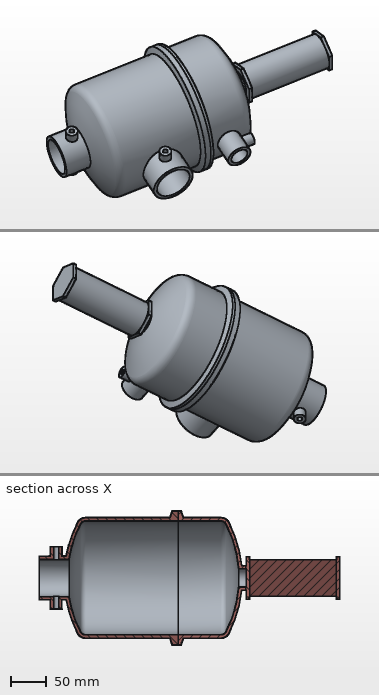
import cadquery as cq
import math

shell_radius = 84.0
shell_wall = 5.0
knuckle_radius = 13.0
crown_radius = 2 * shell_radius
cover_length = 59.5
tank_length = 128.5

flange_radius = 93.6
cover_rim = 4.0
cover_flange = 7.5
tank_rim = 8.5
tank_flange = 11.5

pipe_wall = 5.0
large_pipe_radius = 30.5
small_pipe_radius = 17.5
side_pipe_end = 115.8
bottom_pipe_end = -193.5
large_side_pipe_y = -70.5
small_side_pipe_y = 33.0

port_radius = 8.5
port_bore_radius = 3.5
port_height = 13.0
bottom_port_y = -169.5
large_side_port_x = 91.7
small_side_port_x = 95.5

actuator_start = 94.5
actuator_end = 225.5
cap_thickness = 5.0
barrel_diameter = 51.5
cap_corner_diameter = barrel_diameter / math.cos(math.pi / 6)

X_AXIS = cq.Vector(1, 0, 0)
Y_AXIS = cq.Vector(0, 1, 0)
Z_AXIS = cq.Vector(0, 0, 1)


def rod(radius, start, direction, length):
    return cq.Workplane(cq.Solid.makeCylinder(radius, length, start, direction))


def domed_solid(length, inset, side):
    """Round solid from the joint to a torispherical end; side is +1 or -1 along Y."""
    radius = shell_radius - inset
    knuckle = knuckle_radius - inset
    crown = crown_radius - inset
    knuckle_center = radius - knuckle
    tangent_angle = math.asin(knuckle_center / (crown - knuckle))
    crown_center = length - (crown - knuckle) * math.cos(tangent_angle)

    def knuckle_point(angle):
        return (knuckle_center + knuckle * math.sin(angle), side * (length + knuckle * math.cos(angle)))

    def crown_point(angle):
        return (crown * math.sin(angle), side * (crown_center + crown * math.cos(angle)))

    return (
        cq.Workplane("XY")
        .lineTo(radius, 0)
        .lineTo(radius, side * length)
        .threePointArc(knuckle_point((tangent_angle + math.pi / 2) / 2), knuckle_point(tangent_angle))
        .threePointArc(crown_point(tangent_angle / 2), crown_point(0))
        .close()
        .revolve(360, (0, 0), (0, 1))
    )


def flange(rim, width, side):
    """Disc at the joint with a conical back that runs down to the shell."""
    return (
        cq.Workplane("XY")
        .lineTo(flange_radius, 0)
        .lineTo(flange_radius, side * rim)
        .lineTo(shell_radius, side * width)
        .lineTo(0, side * width)
        .close()
        .revolve(360, (0, 0), (0, 1))
    )


def add_pipe(outside, openings, radius, start, direction, length):
    outside = outside.union(rod(radius, start, direction, length))
    openings = openings.union(rod(radius - pipe_wall, start, direction, length))
    return outside, openings


def add_port(outside, openings, pipe_radius, start, direction):
    """Gauge port that starts on the pipe axis and opens into the pipe."""
    length = pipe_radius + port_height
    outside = outside.union(rod(port_radius, start, direction, length))
    openings = openings.union(rod(port_bore_radius, start, direction, length))
    return outside, openings


def make_cover():
    outside = domed_solid(cover_length, 0, 1).union(flange(cover_rim, cover_flange, 1))
    openings = domed_solid(cover_length, shell_wall, 1)

    neck_start = cq.Vector(0, cover_length, 0)
    neck_length = actuator_start - cover_length
    outside, openings = add_pipe(outside, openings, small_pipe_radius, neck_start, Y_AXIS, neck_length)

    pipe_start = cq.Vector(0, small_side_pipe_y, 0)
    outside, openings = add_pipe(outside, openings, small_pipe_radius, pipe_start, X_AXIS, side_pipe_end)
    port_start = cq.Vector(small_side_port_x, small_side_pipe_y, 0)
    outside, openings = add_port(outside, openings, small_pipe_radius, port_start, Y_AXIS)
    return outside.cut(openings)


def make_tank():
    outside = domed_solid(tank_length, 0, -1).union(flange(tank_rim, tank_flange, -1))
    openings = domed_solid(tank_length, shell_wall, -1)

    pipe_start = cq.Vector(0, -tank_length, 0)
    pipe_length = -tank_length - bottom_pipe_end
    outside, openings = add_pipe(outside, openings, large_pipe_radius, pipe_start, -Y_AXIS, pipe_length)
    for direction in (Z_AXIS, -Z_AXIS):
        port_start = cq.Vector(0, bottom_port_y, 0)
        outside, openings = add_port(outside, openings, large_pipe_radius, port_start, direction)

    pipe_start = cq.Vector(0, large_side_pipe_y, 0)
    outside, openings = add_pipe(outside, openings, large_pipe_radius, pipe_start, X_AXIS, side_pipe_end)
    port_start = cq.Vector(large_side_port_x, large_side_pipe_y, 0)
    outside, openings = add_port(outside, openings, large_pipe_radius, port_start, Z_AXIS)
    return outside.cut(openings)


def make_barrel():
    length = actuator_end - actuator_start - 2 * cap_thickness
    start = cq.Vector(0, actuator_start + cap_thickness, 0)
    return rod(barrel_diameter / 2, start, Y_AXIS, length)


def make_end_cap(y_start):
    """Hexagonal plate with corners at the top and bottom."""
    plane = cq.Plane(origin=(0, y_start, 0), xDir=(0, 0, 1), normal=(0, 1, 0))
    return cq.Workplane(plane).polygon(6, cap_corner_diameter).extrude(cap_thickness)


cover = make_cover()
tank = make_tank()
barrel = make_barrel()
end_caps = [make_end_cap(y_start).val() for y_start in (actuator_start, actuator_end - cap_thickness)]

result = cq.Compound.makeCompound([cover.val(), tank.val(), barrel.val(), *end_caps])